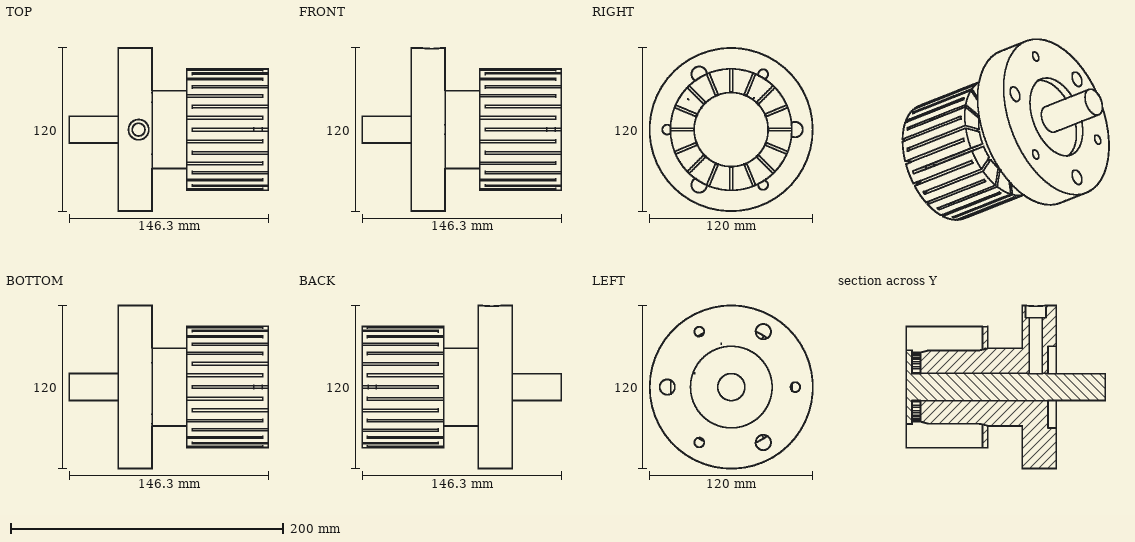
import cadquery as cq
import math


TOTAL_LENGTH = 146.3
FLANGE_THICKNESS = 25.0
BOSS_LENGTH = 25.3
COLLET_LENGTH = 60.0
COLLET_START = TOTAL_LENGTH - COLLET_LENGTH
FLANGE_BACK = COLLET_START - BOSS_LENGTH
FLANGE_FRONT = FLANGE_BACK - FLANGE_THICKNESS

FLANGE_RADIUS = 60.0
BOSS_RADIUS = 28.7
CONE_LENGTH = 6.0
CONE_ANGLE = 15.0
CONE_DROP = CONE_LENGTH * math.tan(math.radians(CONE_ANGLE))
NOSE_RADIUS = BOSS_RADIUS - CONE_DROP
NOSE_TIP_RADIUS = NOSE_RADIUS - CONE_DROP
NOSE_CYLINDER_LENGTH = 37.5
FIRST_CONE_END = COLLET_START + CONE_LENGTH
SECOND_CONE_START = FIRST_CONE_END + NOSE_CYLINDER_LENGTH
NOSE_END = SECOND_CONE_START + CONE_LENGTH
RECESS_RADIUS = 30.0
RECESS_DEPTH = 6.0

HOLE_CIRCLE_RADIUS = 47.0
HOLES_PER_SET = 3
BOLT_HOLE_RADIUS = 5.5
SMALL_HOLE_RADIUS = 3.5

PORT_OFFSET = 15.0
PORT_RADIUS = 7.5
PORT_FLOOR_HEIGHT = 51.0
PORT_DUCT_RADIUS = 4.7

DRAWBAR_RADIUS = 10.0
COLLAR_RADIUS = 27.2
COLLAR_THICKNESS = 4.4
COLLAR_START = TOTAL_LENGTH - COLLAR_THICKNESS

COLLET_RADIUS = 44.6
SLOTS_PER_END = 16
SLOT_WIDTH = 2.0
SLOT_END_WALL = 4.0
SLOT_PITCH = 360.0 / SLOTS_PER_END


def x_cylinder(radius, start, length):
    """Cylinder about the X axis."""
    return cq.Workplane("YZ", origin=(start, 0, 0)).circle(radius).extrude(length)


def revolve_about_x(points):
    """Solid of revolution from a closed outline of (x, radius) points."""
    return cq.Workplane("XY").polyline(points).close().revolve(360, (0, 0, 0), (1, 0, 0))


def z_cylinder(radius, x, bottom, top):
    """Vertical cylinder standing over the X axis."""
    return cq.Workplane("XY", origin=(x, 0, bottom)).circle(radius).extrude(top - bottom)


def flange_holes(radius, first_angle):
    """One set of through holes on the flange hole circle; angle 0 points along +Y."""
    return (
        cq.Workplane("YZ", origin=(FLANGE_FRONT, 0, 0))
        .polarArray(HOLE_CIRCLE_RADIUS, first_angle, 360, HOLES_PER_SET)
        .circle(radius)
        .extrude(FLANGE_THICKNESS)
    )


def make_arbor():
    """Flange, boss and double-cone nose, bored for the drawbar."""
    arbor = revolve_about_x(
        [
            (FLANGE_FRONT, 0),
            (FLANGE_FRONT, FLANGE_RADIUS),
            (FLANGE_BACK, FLANGE_RADIUS),
            (FLANGE_BACK, BOSS_RADIUS),
            (COLLET_START, BOSS_RADIUS),
            (FIRST_CONE_END, NOSE_RADIUS),
            (SECOND_CONE_START, NOSE_RADIUS),
            (NOSE_END, NOSE_TIP_RADIUS),
            (NOSE_END, 0),
        ]
    )
    arbor = arbor.cut(x_cylinder(DRAWBAR_RADIUS, 0, TOTAL_LENGTH))
    arbor = arbor.cut(x_cylinder(RECESS_RADIUS, FLANGE_FRONT, RECESS_DEPTH))
    arbor = arbor.cut(flange_holes(BOLT_HOLE_RADIUS, 0))
    arbor = arbor.cut(flange_holes(SMALL_HOLE_RADIUS, 180 / HOLES_PER_SET))
    port_x = FLANGE_FRONT + PORT_OFFSET
    arbor = arbor.cut(z_cylinder(PORT_RADIUS, port_x, PORT_FLOOR_HEIGHT, FLANGE_RADIUS))
    return arbor.cut(z_cylinder(PORT_DUCT_RADIUS, port_x, 0, PORT_FLOOR_HEIGHT))


def make_drawbar():
    """Round bar through the whole assembly with an end collar seated in the collet recess."""
    bar = x_cylinder(DRAWBAR_RADIUS, 0, TOTAL_LENGTH)
    return bar.union(x_cylinder(COLLAR_RADIUS, COLLAR_START, COLLAR_THICKNESS))


def collet_slot(start, angle):
    """Radial slot through one side of the collet wall; angle 0 points along +Y."""
    return (
        cq.Workplane("XY")
        .box(COLLET_LENGTH - SLOT_END_WALL, COLLET_RADIUS, SLOT_WIDTH, centered=(False, False, True))
        .translate((start, 0, 0))
        .rotate((0, 0, 0), (1, 0, 0), angle)
    )


def make_collet():
    """Sleeve fitting the arbor nose, slotted alternately from both ends."""
    collet = revolve_about_x(
        [
            (COLLET_START, BOSS_RADIUS),
            (COLLET_START, COLLET_RADIUS),
            (TOTAL_LENGTH, COLLET_RADIUS),
            (TOTAL_LENGTH, COLLAR_RADIUS),
            (COLLAR_START, COLLAR_RADIUS),
            (COLLAR_START, NOSE_TIP_RADIUS),
            (NOSE_END, NOSE_TIP_RADIUS),
            (SECOND_CONE_START, NOSE_RADIUS),
            (FIRST_CONE_END, NOSE_RADIUS),
        ]
    )
    for i in range(SLOTS_PER_END):
        angle = i * SLOT_PITCH
        collet = collet.cut(collet_slot(COLLET_START + SLOT_END_WALL, angle))
        collet = collet.cut(collet_slot(COLLET_START, angle + SLOT_PITCH / 2))
    return collet


arbor = make_arbor()
drawbar = make_drawbar()
collet = make_collet()

result = cq.Compound.makeCompound([arbor.val(), drawbar.val(), collet.val()])